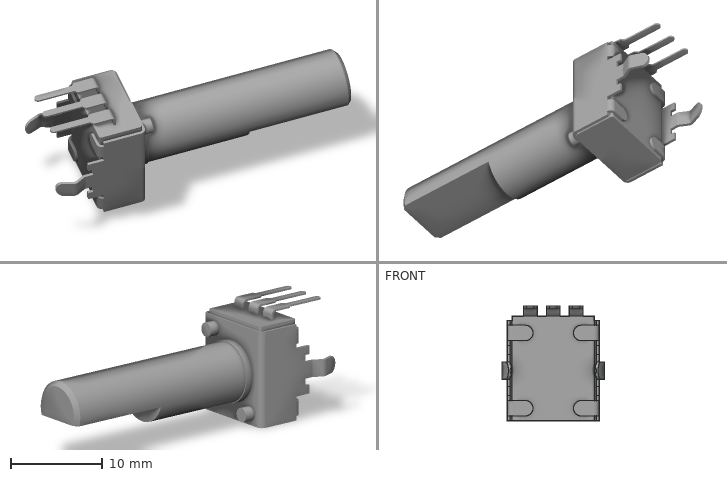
import cadquery as cq
import math


sheet = 0.3
bracket_width = 10.1
bracket_height = 11.0
bracket_depth = 5.65
bend_inner_radius = 0.3
bend_outer_radius = bend_inner_radius + sheet
side_end_y = bend_outer_radius - bracket_depth

tab_width = 1.7
tab_tip_x = 2.22
tab_z = 4.13

tongue_height = 5.5
tongue_end_y = -6.85
notch_outer_z = 1.75
notch_floor_y = -6.28
leg_height = 1.9
leg_tip_y = -10.58
leg_tip_rounding = 0.65
leg_bend_y = -7.25
leg_apex_y = -8.5
leg_apex_bulge = 0.65
leg_tip_shift = -0.15
leg_bend_radius = 0.35

housing_width = 9.03
housing_bottom_z = -bracket_height / 2
housing_top_z = 5.95
housing_front_y = -sheet
housing_back_y = sheet - bracket_depth
housing_corner_radius = 0.25

shaft_length = 24.7
shaft_radius = 3.4
shaft_chamfer = 0.5
flat_length = 12.0
flat_z = -1.0
collar_radius = 3.53
collar_height = 0.85
peg_radius = 0.8
peg_height = 1.2
peg_x = 3.07
peg_z = 4.15
peg_places = [(peg_x, peg_z), (-peg_x, -peg_z)]

terminal_pitch = 2.5
terminal_thickness = 0.2
terminal_width = 1.5
terminal_neck_width = 0.8
terminal_front_y = -2.95
terminal_top_z = 7.1
terminal_bend_radius = 0.53
shoulder_y = -5.5
neck_y = -5.82
terminal_tip_y = -10.35


def box_between(x_range, y_range, z_range):
    """A box given by its limits along each axis."""
    sizes = [high - low for low, high in (x_range, y_range, z_range)]
    corner = (x_range[0], y_range[0], z_range[0])
    return cq.Workplane("XY").box(*sizes, centered=False).translate(corner)


def rod(radius, y_start, y_end, x=0.0, z=0.0):
    """A round rod parallel to Y."""
    return (
        cq.Workplane("XZ", origin=(x, y_start, z))
        .circle(radius)
        .extrude(y_start - y_end)
    )


def mirrored_pair(shape):
    """A shape together with its mirror image across the YZ plane."""
    return shape.union(shape.mirror("YZ"))


def make_housing():
    """Block, collar, D-cut shaft and locating pegs."""
    block = box_between(
        (-housing_width / 2, housing_width / 2),
        (housing_back_y, housing_front_y),
        (housing_bottom_z, housing_top_z),
    ).edges("|Z").fillet(housing_corner_radius)
    collar = rod(collar_radius, housing_front_y, collar_height)
    shaft = rod(shaft_radius, 0, shaft_length).faces(">Y").chamfer(shaft_chamfer)
    flat_cut = box_between(
        (-shaft_radius, shaft_radius),
        (shaft_length - flat_length, shaft_length),
        (-shaft_radius, flat_z),
    )
    housing = block.union(collar).union(shaft.cut(flat_cut))
    for x, z in peg_places:
        housing = housing.union(rod(peg_radius, housing_front_y, peg_height, x, z))
    return housing


def bracket_band():
    """Closed band around the housing: front plate, side walls and back wall."""
    half_height = bracket_height / 2
    outer = box_between(
        (-bracket_width / 2, bracket_width / 2),
        (-bracket_depth, 0),
        (-half_height, half_height),
    ).edges("|Z").fillet(bend_outer_radius)
    inner = box_between(
        (sheet - bracket_width / 2, bracket_width / 2 - sheet),
        (sheet - bracket_depth, -sheet),
        (-half_height, half_height),
    ).edges("|Z").fillet(bend_inner_radius)
    return outer.cut(inner)


def clamp_tab_space(z):
    """Space of one round-ended tab and its bend, on the +X side."""
    end_radius = tab_width / 2
    return (
        cq.Workplane("XZ", origin=(0, side_end_y, z))
        .moveTo(bracket_width / 2, -end_radius)
        .lineTo(tab_tip_x + end_radius, -end_radius)
        .threePointArc((tab_tip_x, 0), (tab_tip_x + end_radius, end_radius))
        .lineTo(bracket_width / 2, end_radius)
        .close()
        .extrude(bracket_depth + side_end_y)
    )


def round_corner(strip, corner, radius):
    """Round the upright edge of the strip that stands at the given corner."""
    return strip.edges("|Z").edges(cq.selectors.NearestToPointSelector((*corner, 0))).fillet(radius)


def leg_strip():
    """The +X leg as a bent strip as high as the tongue, from the side wall to its tip."""
    wall_x = (bracket_width - sheet) / 2
    path = [
        (wall_x, side_end_y),
        (wall_x, leg_bend_y),
        (wall_x + leg_apex_bulge, leg_apex_y),
        (wall_x + leg_tip_shift, leg_tip_y),
    ]
    headings = [math.atan2(y1 - y0, x1 - x0) for (x0, y0), (x1, y1) in zip(path, path[1:])]
    arriving = headings[:1] + headings
    leaving = headings + headings[-1:]
    inner_edge = []
    outer_edge = []
    for (x, y), before, after in zip(path, arriving, leaving):
        miter = sheet / 2 / math.cos((after - before) / 2)
        normal = (before + after) / 2 + math.pi / 2
        dx = miter * math.cos(normal)
        dy = miter * math.sin(normal)
        outer_edge.append((x + dx, y + dy))
        inner_edge.append((x - dx, y - dy))
    strip = (
        cq.Workplane("XY", origin=(0, 0, -tongue_height / 2))
        .polyline(outer_edge + inner_edge[::-1])
        .close()
        .extrude(tongue_height)
    )
    bend, apex = 1, 2
    strip = round_corner(strip, outer_edge[bend], leg_bend_radius)
    strip = round_corner(strip, inner_edge[bend], leg_bend_radius + sheet)
    strip = round_corner(strip, inner_edge[apex], leg_bend_radius)
    return round_corner(strip, outer_edge[apex], leg_bend_radius + sheet)


def leg_outline():
    """Side outline of tongue, notches and leg, as a prism across the +X half."""
    half_tongue = tongue_height / 2
    half_leg = leg_height / 2
    return (
        cq.Workplane("YZ")
        .moveTo(side_end_y, half_tongue)
        .lineTo(tongue_end_y, half_tongue)
        .lineTo(tongue_end_y, notch_outer_z)
        .lineTo(notch_floor_y, notch_outer_z)
        .lineTo(notch_floor_y, half_leg)
        .lineTo(leg_tip_y + leg_tip_rounding, half_leg)
        .threePointArc((leg_tip_y, 0), (leg_tip_y + leg_tip_rounding, -half_leg))
        .lineTo(notch_floor_y, -half_leg)
        .lineTo(notch_floor_y, -notch_outer_z)
        .lineTo(tongue_end_y, -notch_outer_z)
        .lineTo(tongue_end_y, -half_tongue)
        .lineTo(side_end_y, -half_tongue)
        .close()
        .extrude(bracket_width)
    )


def make_bracket():
    """Front plate, side walls, four clamp tabs and two solder legs."""
    band = bracket_band()
    front_and_sides = band.intersect(
        box_between(
            (-bracket_width, bracket_width),
            (side_end_y, 0),
            (-bracket_height, bracket_height),
        )
    )
    bracket = front_and_sides
    for z in (-tab_z, tab_z):
        bracket = bracket.union(band.intersect(mirrored_pair(clamp_tab_space(z))))
    bracket = bracket.union(mirrored_pair(leg_strip().intersect(leg_outline())))
    bracket = bracket.cut(rod(collar_radius, -sheet, 0))
    for x, z in peg_places:
        bracket = bracket.cut(rod(peg_radius, -sheet, 0, x, z))
    return bracket


def make_terminal(x):
    """L-bent terminal standing on the housing, with a narrow round-ended pin."""
    inner_y = terminal_front_y - terminal_thickness
    inner_z = terminal_top_z - terminal_thickness
    strip = (
        cq.Workplane("YZ", origin=(-terminal_width / 2, 0, 0))
        .moveTo(terminal_front_y, housing_top_z)
        .lineTo(terminal_front_y, terminal_top_z)
        .lineTo(terminal_tip_y, terminal_top_z)
        .lineTo(terminal_tip_y, inner_z)
        .lineTo(inner_y, inner_z)
        .lineTo(inner_y, housing_top_z)
        .close()
        .extrude(terminal_width)
    )
    outer_corner = cq.selectors.NearestToPointSelector((0, terminal_front_y, terminal_top_z))
    inner_corner = cq.selectors.NearestToPointSelector((0, inner_y, inner_z))
    strip = strip.edges("|X").edges(outer_corner).fillet(terminal_bend_radius)
    strip = strip.edges("|X").edges(inner_corner).fillet(terminal_bend_radius - terminal_thickness)

    half_width = terminal_width / 2
    half_neck = terminal_neck_width / 2
    outline = (
        cq.Workplane("XY", origin=(0, 0, housing_top_z))
        .moveTo(-half_width, terminal_front_y)
        .lineTo(-half_width, shoulder_y)
        .lineTo(-half_neck, neck_y)
        .lineTo(-half_neck, terminal_tip_y + half_neck)
        .threePointArc((0, terminal_tip_y), (half_neck, terminal_tip_y + half_neck))
        .lineTo(half_neck, neck_y)
        .lineTo(half_width, shoulder_y)
        .lineTo(half_width, terminal_front_y)
        .close()
        .extrude(terminal_top_z - housing_top_z)
    )
    return strip.intersect(outline).translate((x, 0, 0))


housing = make_housing()
bracket = make_bracket()
terminals = [make_terminal(x) for x in (-terminal_pitch, 0, terminal_pitch)]

result = cq.Compound.makeCompound(
    [housing.val(), bracket.val()] + [terminal.val() for terminal in terminals]
)